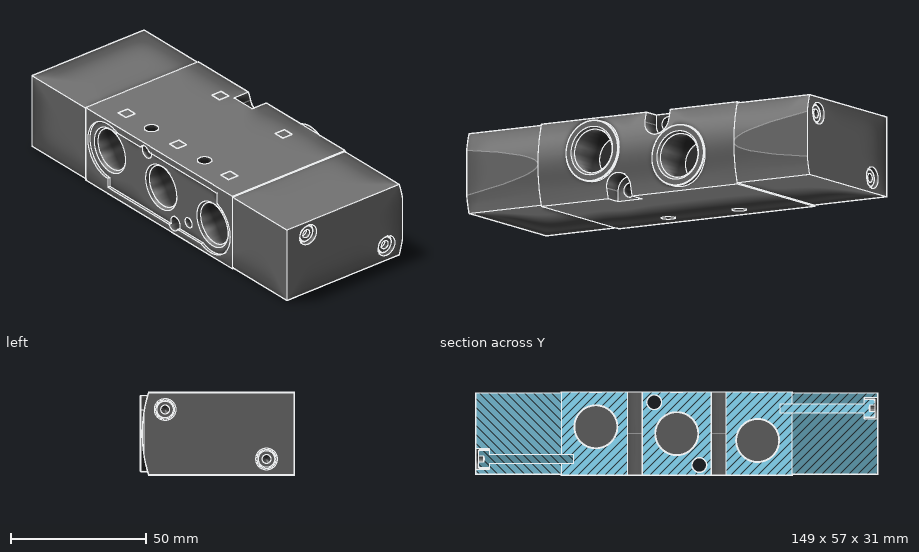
import cadquery as cq
import math


total_length = 149.0
body_length = 85.7
body_height = 31.0
cap_height = 30.1
cap_front = 0.1
edge_depth = 54.0
crest_depth = 56.3
cap_end_depth = 55.6

port_rim_diameter = 18.2
port_mouth_diameter = 16.4
port_floor_diameter = 15.6
port_rim_depth = 1.0
port_depth = 17.9
front_port_pitch = 30.0
front_port_offset = 2.5
back_port_x = 18.8
back_port_offset = 2.7
boss_diameter = 23.0
boss_top = 57.0
boss_chamfer = 0.22

seat_depth = 1.0
seat_height = 25.6
seat_lobe_diameter = 23.2
seat_right = 33.8
seat_left = -front_port_pitch

long_hole_diameter = 5.4
long_hole_x = 8.3
long_hole_z = 11.6
slot_width = 10.5
slot_floor = 47.1

cross_hole_diameter = 5.4
cross_hole_x = 15.5
cross_hole_y = 9.1

pin_hole_diameter = 4.0
pin_hole_x = 16.0
pin_hole_z = -8.0
pin_hole_depth = 6.0

label_size = 4.5
label_depth = 0.1
label_front_y = 9.1
label_back_x = (-18.2, 18.8)
label_back_y = 44.3

head_diameter = 7.0
head_chamfer = 0.5
head_height = 4.0
head_recess = 1.0
counterbore_diameter = 8.0
shank_diameter = 4.0
thread_length = 4.5
socket_diameter = 3.3
socket_depth = 2.0
socket_cone_angle = 30
screw_places = [(47.8, 9.0), (10.3, -9.4)]

body_end = body_length / 2
cap_end = total_length / 2
cap_length = cap_end - body_end
half_turns = (0, 180)


def turned(shape, angle):
    """The shape turned about the Y axis."""
    return shape.rotate((0, 0, 0), (0, 1, 0), angle)


def rod_along_y(x, z, diameter, y_start, y_end):
    rod = cq.Workplane("XZ", origin=(0, y_start, 0)).center(x, z).circle(diameter / 2)
    return rod.extrude(y_start - y_end)


def rod_along_x(y, z, diameter, x_start, x_end):
    rod = cq.Workplane("YZ", origin=(x_start, 0, 0)).center(y, z).circle(diameter / 2)
    return rod.extrude(x_end - x_start)


def crowned_block(x_start, length, front, height):
    """Block along X with a bulged back."""
    half = height / 2
    return (
        cq.Workplane("YZ", origin=(x_start, 0, 0))
        .moveTo(front, -half)
        .lineTo(edge_depth, -half)
        .threePointArc((crest_depth, 0), (edge_depth, half))
        .lineTo(front, half)
        .close()
        .extrude(length)
    )


def port_cutter(x, z):
    """Tapered port bore entering along +Y from y = 0, with a chamfered rim."""
    outline = (
        cq.Workplane("XY")
        .lineTo(port_rim_diameter / 2, 0)
        .lineTo(port_mouth_diameter / 2, port_rim_depth)
        .lineTo(port_floor_diameter / 2, port_depth)
        .lineTo(0, port_depth)
        .close()
    )
    bore = outline.revolve(360, (0, 0, 0), (0, 1, 0))
    return bore.translate((x, 0, z))


def front_seat():
    """Recess around the front ports: a plate with a round lobe at each outer port."""
    width = seat_right - seat_left
    seat = (
        cq.Workplane("XY")
        .box(width, seat_depth, seat_height, centered=(False, False, True))
        .translate((seat_left, 0, 0))
    )
    for side in (-1, 1):
        lobe = rod_along_y(
            side * front_port_pitch, -side * front_port_offset, seat_lobe_diameter, 0, seat_depth
        )
        seat = seat.union(lobe)
    return seat


def bolt_slot():
    """Round-bottomed slot for a bolt head, open at the back and at the top."""
    bolt_hole = rod_along_y(-long_hole_x, long_hole_z, slot_width, slot_floor, boss_top)
    opening = (
        cq.Workplane("XY")
        .box(slot_width, boss_top - slot_floor, body_height, centered=(True, False, False))
        .translate((-long_hole_x, slot_floor, long_hole_z))
    )
    return bolt_hole.union(opening)


def make_body():
    body = crowned_block(-body_end, body_length, 0, body_height)

    for side in (-1, 1):
        boss = rod_along_y(
            side * back_port_x, side * back_port_offset, boss_diameter, slot_floor, boss_top
        )
        body = body.union(boss.faces(">Y").chamfer(boss_chamfer))

    body = body.cut(front_seat())
    for step in (-1, 0, 1):
        port = port_cutter(step * front_port_pitch, -step * front_port_offset)
        body = body.cut(port.translate((0, seat_depth, 0)))
    for side in (-1, 1):
        port = port_cutter(side * back_port_x, -side * back_port_offset)
        body = body.cut(port.rotate((0, 0, 0), (1, 0, 0), 180).translate((0, boss_top, 0)))

    long_hole = rod_along_y(-long_hole_x, long_hole_z, long_hole_diameter, 0, boss_top)
    for angle in half_turns:
        body = body.cut(turned(long_hole, angle)).cut(turned(bolt_slot(), angle))
    for side in (-1, 1):
        cross_hole = (
            cq.Workplane("XY")
            .center(side * cross_hole_x, cross_hole_y)
            .circle(cross_hole_diameter / 2)
            .extrude(body_height / 2, both=True)
        )
        body = body.cut(cross_hole)
    body = body.cut(rod_along_y(pin_hole_x, pin_hole_z, pin_hole_diameter, 0, seat_depth + pin_hole_depth))

    labels = [(step * front_port_pitch, label_front_y) for step in (-1, 0, 1)]
    labels += [(x, label_back_y) for x in label_back_x]
    recess = (
        cq.Workplane("XY", origin=(0, 0, body_height / 2))
        .pushPoints(labels)
        .rect(label_size, label_size)
        .extrude(-label_depth)
    )
    body = body.cut(recess)

    for y, z in screw_places:
        hole = rod_along_x(y, z, shank_diameter, -body_end, -body_end + thread_length)
        for angle in half_turns:
            body = body.cut(turned(hole, angle))
    return body


def make_cap():
    """End cap at the -X end."""
    cap = crowned_block(-cap_end, cap_length, cap_front, cap_height)
    slope = (
        cq.Workplane("XY")
        .moveTo(-cap_end, cap_end_depth)
        .lineTo(-body_end, crest_depth)
        .lineTo(-cap_end, crest_depth)
        .close()
        .extrude(cap_height / 2, both=True)
    )
    cap = cap.cut(slope)
    for y, z in screw_places:
        counterbore_floor = -cap_end + head_recess + head_height
        cap = cap.cut(rod_along_x(y, z, counterbore_diameter, -cap_end, counterbore_floor))
        cap = cap.cut(rod_along_x(y, z, shank_diameter, -cap_end, -body_end))
    return cap


def make_screw(y, z):
    """Cap screw at the -X end, with a round socket that ends in a cone."""
    head_face = -cap_end + head_recess
    head_seat = head_face + head_height
    radius = socket_diameter / 2
    cone_depth = radius * math.tan(math.radians(socket_cone_angle))
    screw = rod_along_x(y, z, head_diameter, head_face, head_seat)
    screw = screw.faces("<X").chamfer(head_chamfer)
    screw = screw.union(rod_along_x(y, z, shank_diameter, head_seat, -body_end + thread_length))
    socket = (
        cq.Workplane("XY")
        .lineTo(0, radius)
        .lineTo(socket_depth, radius)
        .lineTo(socket_depth + cone_depth, 0)
        .close()
        .revolve(360, (0, 0, 0), (1, 0, 0))
    )
    return screw.cut(socket.translate((head_face, y, z)))


body = make_body()
caps = [turned(make_cap(), angle) for angle in half_turns]
screws = [turned(make_screw(y, z), angle) for y, z in screw_places for angle in half_turns]

result = cq.Compound.makeCompound([part.val() for part in [body, *caps, *screws]])